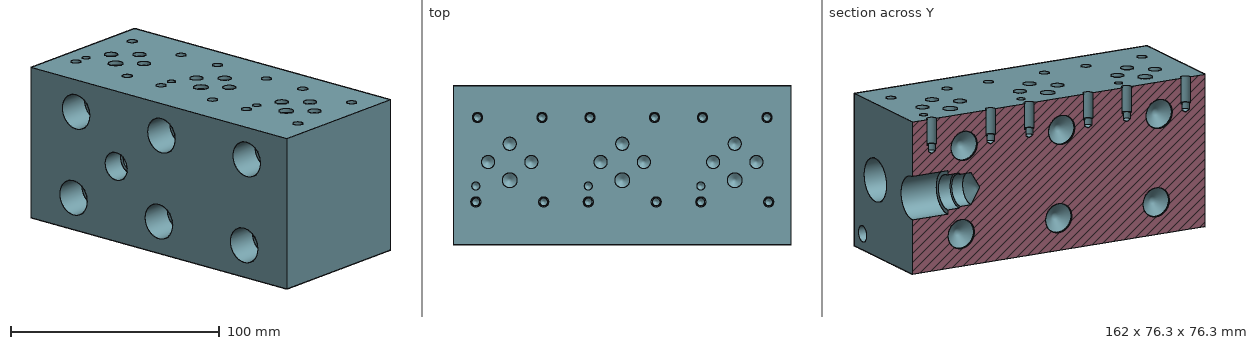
import cadquery as cq
import math

LENGTH = 162.0
SIDE = 76.3
MIDDLE = SIDE / 2

STATION_PITCH = 54.0
STATIONS = [LENGTH / 2 + step * STATION_PITCH for step in (-1, 0, 1)]

DRILL_ANGLE = 118.0

BOLT_THREAD_DIAMETER = 4.9
BOLT_THREAD_DEPTH = 13.0
BOLT_DRILL_DIAMETER = 3.7
BOLT_DRILL_DEPTH = 16.2
BOLT_ROW_REAR_Y = 61.0
BOLT_ROW_SPACING = 40.5
BOLT_ROW_FRONT_Y = BOLT_ROW_REAR_Y - BOLT_ROW_SPACING
REAR_BOLT_SPAN = 31.0
FRONT_BOLT_SPAN = 32.5

PIN_DIAMETER = 3.9
PIN_DEPTH = 4.9
PIN_FROM_BOLT = 7.6

FLOW_DIAMETER = 6.3
PRESSURE_DIAMETER = 7.1
FLOW_DEPTH = 2.0
FLOW_CENTRE_Y = 39.7
FLOW_HALF_WIDTH = 10.4
FLOW_HALF_HEIGHT = 8.7

WORK_THREAD_DIAMETER = 17.3
WORK_THREAD_DEPTH = 16.2
WORK_DRILL_DIAMETER = 14.2
WORK_DRILL_DEPTH = 21.0
WORK_PORT_INSET = 16.2
UPPER_PORT_SHIFT = 1.6

GAUGE_THREAD_DIAMETER = 14.0
GAUGE_THREAD_DEPTH = 11.3
GAUGE_DRILL_DIAMETER = 10.7
GAUGE_DRILL_DEPTH = 16.2

MAIN_THREAD_DIAMETER = 21.5
MAIN_THREAD_DEPTH = 19.5
MAIN_DRILL_DIAMETER = 17.3
MAIN_DRILL_DEPTH = 25.9
GALLERY_DIAMETER = 15.9
GALLERY_DEPTH = 32.4
MAIN_PORT_INSET = 20.4

MOUNT_THREAD_DIAMETER = 8.0
MOUNT_THREAD_DEPTH = 15.4
MOUNT_DRILL_DIAMETER = 6.5
MOUNT_DRILL_DEPTH = 18.6
MOUNT_INSET = 8.1

DOWN = cq.Vector(0, 0, -1)
BACK = cq.Vector(0, 1, 0)
ALONG = cq.Vector(1, 0, 0)


def bore(point, direction, diameter, depth):
    """Flat-bottomed cylinder starting at a point on a face."""
    return cq.Solid.makeCylinder(diameter / 2, depth, cq.Vector(*point), direction)


def drilled_hole(point, direction, diameter, depth):
    """Cylinder with a drill-point cone beyond its full-diameter depth."""
    radius = diameter / 2
    tip_height = radius / math.tan(math.radians(DRILL_ANGLE / 2))
    tip_start = cq.Vector(*point) + direction * depth
    tip = cq.Solid.makeCone(radius, 0, tip_height, tip_start, direction)
    return bore(point, direction, diameter, depth).fuse(tip)


def threaded_hole(point, direction, thread_diameter, thread_depth, drill_diameter, drill_depth):
    """Drilled hole opened up to the thread diameter near the face."""
    drill = drilled_hole(point, direction, drill_diameter, drill_depth)
    return drill.fuse(bore(point, direction, thread_diameter, thread_depth))


def bolt_hole(x, y):
    return threaded_hole(
        (x, y, SIDE), DOWN,
        BOLT_THREAD_DIAMETER, BOLT_THREAD_DEPTH, BOLT_DRILL_DIAMETER, BOLT_DRILL_DEPTH,
    )


def valve_pattern(station_x):
    """Bolt, pin and flow holes of one station on the top face."""
    holes = []
    for side in (-1, 1):
        holes.append(bolt_hole(station_x + side * REAR_BOLT_SPAN / 2, BOLT_ROW_REAR_Y))
        holes.append(bolt_hole(station_x + side * FRONT_BOLT_SPAN / 2, BOLT_ROW_FRONT_Y))
        service = (station_x + side * FLOW_HALF_WIDTH, FLOW_CENTRE_Y, SIDE)
        holes.append(drilled_hole(service, DOWN, FLOW_DIAMETER, FLOW_DEPTH))

    tank = (station_x, FLOW_CENTRE_Y + FLOW_HALF_HEIGHT, SIDE)
    holes.append(drilled_hole(tank, DOWN, FLOW_DIAMETER, FLOW_DEPTH))
    pressure = (station_x, FLOW_CENTRE_Y - FLOW_HALF_HEIGHT, SIDE)
    holes.append(drilled_hole(pressure, DOWN, PRESSURE_DIAMETER, FLOW_DEPTH))

    pin = (station_x - FRONT_BOLT_SPAN / 2, BOLT_ROW_FRONT_Y + PIN_FROM_BOLT, SIDE)
    holes.append(drilled_hole(pin, DOWN, PIN_DIAMETER, PIN_DEPTH))
    return holes


def work_ports(station_x):
    """Ports A and B of one station on the front face."""
    lower = (station_x, 0, WORK_PORT_INSET)
    upper = (station_x + UPPER_PORT_SHIFT, 0, SIDE - WORK_PORT_INSET)
    return [
        threaded_hole(
            point, BACK,
            WORK_THREAD_DIAMETER, WORK_THREAD_DEPTH, WORK_DRILL_DIAMETER, WORK_DRILL_DEPTH,
        )
        for point in (lower, upper)
    ]


def gauge_port():
    return threaded_hole(
        ((STATIONS[0] + STATIONS[1]) / 2, 0, MIDDLE), BACK,
        GAUGE_THREAD_DIAMETER, GAUGE_THREAD_DEPTH, GAUGE_DRILL_DIAMETER, GAUGE_DRILL_DEPTH,
    )


def main_port(y):
    """Threaded port whose drill-point cone runs into a narrower gallery."""
    point = (0, y, MIDDLE)
    port = threaded_hole(
        point, ALONG,
        MAIN_THREAD_DIAMETER, MAIN_THREAD_DEPTH, MAIN_DRILL_DIAMETER, MAIN_DRILL_DEPTH,
    )
    return port.fuse(drilled_hole(point, ALONG, GALLERY_DIAMETER, GALLERY_DEPTH))


def mount_hole(y):
    return threaded_hole(
        (0, y, MOUNT_INSET), ALONG,
        MOUNT_THREAD_DIAMETER, MOUNT_THREAD_DEPTH, MOUNT_DRILL_DIAMETER, MOUNT_DRILL_DEPTH,
    )


cutters = [gauge_port()]
for station in STATIONS:
    cutters += valve_pattern(station)
    cutters += work_ports(station)
for y in (MAIN_PORT_INSET, SIDE - MAIN_PORT_INSET):
    cutters.append(main_port(y))
for y in (MOUNT_INSET, SIDE - MOUNT_INSET):
    cutters.append(mount_hole(y))

block = cq.Solid.makeBox(LENGTH, SIDE, SIDE)
result = cq.Workplane(obj=block.cut(*cutters))